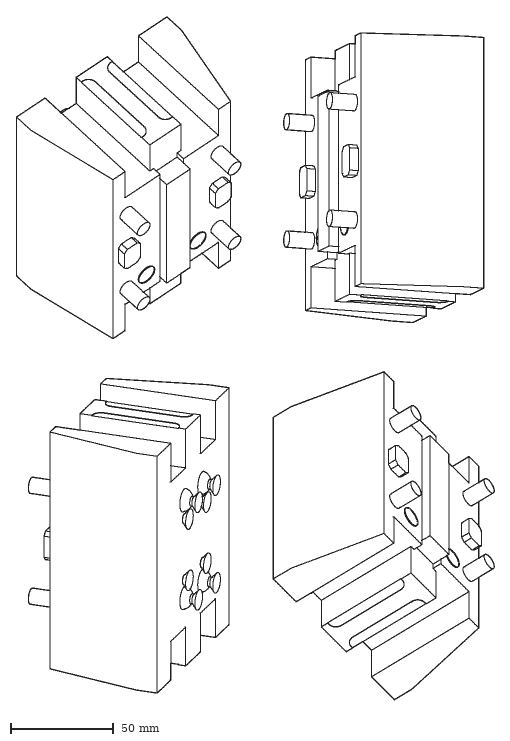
import cadquery as cq
import math

BLOCK_LENGTH = 60.0
BLOCK_WIDTH = 96.0
BLOCK_HEIGHT = 124.0
STRAIGHT_LENGTH = 10.9
SIDE_TAPER = math.radians(12)

SLOT_WIDTH = 19.8
SLOT_DEPTH = 20.3
TAB_WIDTH = SLOT_WIDTH
TAB_SETBACK = 4.8

RELIEF_START = 3.8
RELIEF_LENGTH = 45.1
RELIEF_WIDTH = 5.3
RELIEF_DEPTH = 0.2
RELIEF_RADIUS = 4.3

KEY_WIDTH = 15.0
KEY_HEIGHT = 76.8
KEY_PROJECTION = 5.0

PIN_DIAMETER = 8.0
PIN_LENGTH = 13.0
PIN_OFFSET = 29.0
LUG_WIDTH = 10.2
LUG_HEIGHT = 15.0
LUG_LENGTH = 4.5
LUG_CHAMFER = 2.0
PAD_DIAMETER = 10.2
PAD_THICKNESS = 0.5
PAD_OFFSET_Y = 16.4

CUP_OFFSET_Y = 11.9
CUP_RIM_RADIUS = 5.1
TALL_CUP_Z = 25.5
TALL_CUP_LENGTH = 7.6
CUP_FLARE = 2.6
DOME_RADIUS = 6.1
DOME_CENTRE_X = 1.7
SHORT_CUP_Z = 16.0
SHORT_CUP_LENGTH = 2.7

OVERLAP = 1.2
BOTH_SIDES = (-1, 1)


def make_block():
    """Block whose two long sides taper towards the back face."""
    half_front = BLOCK_WIDTH / 2
    half_back = half_front - (BLOCK_LENGTH - STRAIGHT_LENGTH) * math.tan(SIDE_TAPER)
    outline = [
        (0, -half_front),
        (STRAIGHT_LENGTH, -half_front),
        (BLOCK_LENGTH, -half_back),
        (BLOCK_LENGTH, half_back),
        (STRAIGHT_LENGTH, half_front),
        (0, half_front),
    ]
    block = cq.Workplane("XY").polyline(outline).close().extrude(BLOCK_HEIGHT)
    return block.translate((0, 0, -BLOCK_HEIGHT / 2))


def box_at(x_start, length, width, height, y, z):
    """Box starting at x_start and centred on y and z."""
    box = cq.Workplane("XY").box(length, width, height, centered=(False, True, True))
    return box.translate((x_start, y, z))


def cylinder_on_back(diameter, projection, y, z):
    """Round feature standing out of the back face."""
    start = BLOCK_LENGTH - OVERLAP
    plane = cq.Workplane("YZ", origin=(start, y, z))
    return plane.circle(diameter / 2).extrude(OVERLAP + projection)


def make_relief(side, end):
    """Cutter for a shallow relief, open along one long edge of a tab end."""
    cutter = box_at(RELIEF_START, RELIEF_LENGTH, 2 * RELIEF_WIDTH, 2 * RELIEF_DEPTH, 0, 0)
    cutter = cutter.edges("|Z").fillet(RELIEF_RADIUS)
    return cutter.translate((0, side * TAB_WIDTH / 2, end * BLOCK_HEIGHT / 2))


def make_cup(length, y, z):
    """Cup with a 45 degree flare from its stem out to its rim."""
    stem_radius = CUP_RIM_RADIUS - CUP_FLARE
    profile = [
        (-length, 0),
        (-length, CUP_RIM_RADIUS),
        (CUP_FLARE - length, stem_radius),
        (OVERLAP, stem_radius),
        (OVERLAP, 0),
    ]
    cup = cq.Workplane("XY").polyline(profile).close().revolve(360, (0, 0), (1, 0))
    return cup.translate((0, y, z))


def make_dome(y, z):
    """Ball sunk into the front face to form the domed base of a tall cup."""
    return cq.Workplane("XY").sphere(DOME_RADIUS).translate((DOME_CENTRE_X, y, z))


result = make_block()
key_start = BLOCK_LENGTH - TAB_SETBACK

for end in BOTH_SIDES:
    end_z = end * BLOCK_HEIGHT / 2
    result = result.cut(box_at(key_start, TAB_SETBACK, TAB_WIDTH, 2 * SLOT_DEPTH, 0, end_z))
    for side in BOTH_SIDES:
        slot_y = side * (TAB_WIDTH + SLOT_WIDTH) / 2
        result = result.cut(box_at(0, BLOCK_LENGTH, SLOT_WIDTH, 2 * SLOT_DEPTH, slot_y, end_z))
        result = result.cut(make_relief(side, end))

result = result.cut(box_at(key_start, TAB_SETBACK, KEY_WIDTH, BLOCK_HEIGHT, 0, 0))
result = result.union(box_at(key_start, TAB_SETBACK + KEY_PROJECTION, KEY_WIDTH, KEY_HEIGHT, 0, 0))

for side in BOTH_SIDES:
    lug = box_at(BLOCK_LENGTH - OVERLAP, OVERLAP + LUG_LENGTH, LUG_WIDTH, LUG_HEIGHT, side * PIN_OFFSET, 0)
    result = result.union(lug.edges("|X").chamfer(LUG_CHAMFER))
    result = result.union(cylinder_on_back(PAD_DIAMETER, PAD_THICKNESS, side * PAD_OFFSET_Y, -PIN_OFFSET))

    for end in BOTH_SIDES:
        result = result.union(cylinder_on_back(PIN_DIAMETER, PIN_LENGTH, side * PIN_OFFSET, end * PIN_OFFSET))

        cup_y = side * CUP_OFFSET_Y
        result = result.union(make_dome(cup_y, end * TALL_CUP_Z))
        result = result.union(make_cup(TALL_CUP_LENGTH, cup_y, end * TALL_CUP_Z))
        result = result.union(make_cup(SHORT_CUP_LENGTH, cup_y, end * SHORT_CUP_Z))